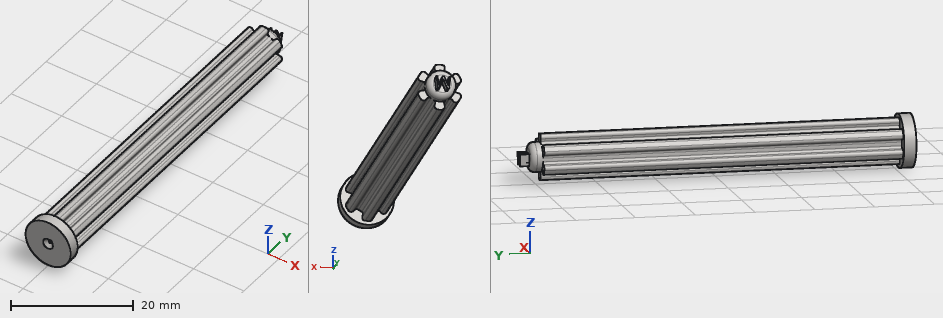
import cadquery as cq
import math

TOTAL_LENGTH = 65.5
FLANGE_DIAMETER = 9.0
FLANGE_THICKNESS = 2.0

SHAFT_LENGTH = 60.0
FIN_COUNT = 6
FIN_RADIUS = 3.85
CORE_RADIUS = 2.5
FIN_ROOT_FILLET = 0.4
FIN_CORNER_FILLET = 0.5
RADIUS_TOLERANCE = 0.0005

NOSE_LENGTH = 1.95
NOSE_FILLET = 1.0

TIP_LENGTH = TOTAL_LENGTH - FLANGE_THICKNESS - SHAFT_LENGTH - NOSE_LENGTH
TIP_CENTER_X = 0.05
TIP_TOP_Z = 0.7
TIP_BOTTOM_Z = -1.3
TIP_VALLEY_Z = -0.7
TIP_NOTCH_Z = 0.2
TIP_TOP_OUTER = 1.2
TIP_TOP_INNER = 1.0
TIP_VALLEY_X = 0.8
TIP_PEAK_HALF_WIDTH = 0.1
TIP_FOOT_OUTER = 0.9
TIP_FOOT_INNER = 0.65

RECESS_DIAMETER = 1.95
RECESS_FLOOR_DIAMETER = 0.65
RECESS_DEPTH = 0.65

flange_face_y = -TOTAL_LENGTH / 2
shaft_start_y = flange_face_y + FLANGE_THICKNESS
nose_start_y = shaft_start_y + SHAFT_LENGTH
nose_end_y = nose_start_y + NOSE_LENGTH


def section_at(y):
    """Sketch plane across the axis at y, with local x along X and local y along Z."""
    return cq.Workplane("XZ", origin=(0, y, 0))


def cylinder(radius, start_y, length):
    return section_at(start_y).circle(radius).extrude(-length)


def polar(radius, angle):
    return (radius * math.cos(angle), radius * math.sin(angle))


def lengthwise_edges(shape, radius):
    """Straight edges parallel to Y that lie at the given distance from the axis."""

    def at_radius(edge):
        center = edge.Center()
        return abs(math.hypot(center.x, center.z) - radius) < RADIUS_TOLERANCE

    return [edge for edge in shape.edges("|Y").vals() if at_radius(edge)]


def make_fluted_shaft():
    """Round core with equally wide fins and gaps; fin roots and fin corners are rounded."""
    half_fin = math.pi / FIN_COUNT / 2
    fin_reach = FIN_RADIUS / math.cos(half_fin) ** 2
    shaft = cylinder(CORE_RADIUS, shaft_start_y, SHAFT_LENGTH)
    fin_limit = cylinder(FIN_RADIUS, shaft_start_y, SHAFT_LENGTH)
    for index in range(FIN_COUNT):
        middle = math.pi / 2 + index * 2 * math.pi / FIN_COUNT
        corners = [(0, 0), polar(fin_reach, middle - half_fin), polar(fin_reach, middle + half_fin)]
        wedge = section_at(shaft_start_y).polyline(corners).close().extrude(-SHAFT_LENGTH)
        shaft = shaft.union(wedge.intersect(fin_limit))

    shaft = shaft.newObject(lengthwise_edges(shaft, CORE_RADIUS)).fillet(FIN_ROOT_FILLET)
    return shaft.newObject(lengthwise_edges(shaft, FIN_RADIUS)).fillet(FIN_CORNER_FILLET)


def make_nose():
    return cylinder(CORE_RADIUS, nose_start_y, NOSE_LENGTH).faces(">Y").edges().fillet(NOSE_FILLET)


def make_tip():
    """W-shaped prism, its right half mirrored from the left."""
    left_half = [
        (-TIP_PEAK_HALF_WIDTH, TIP_TOP_Z),
        (-TIP_VALLEY_X, TIP_VALLEY_Z),
        (-TIP_TOP_INNER, TIP_TOP_Z),
        (-TIP_TOP_OUTER, TIP_TOP_Z),
        (-TIP_FOOT_OUTER, TIP_BOTTOM_Z),
        (-TIP_FOOT_INNER, TIP_BOTTOM_Z),
    ]
    right_half = [(-x, z) for x, z in reversed(left_half)]
    outline = left_half + [(0, TIP_NOTCH_Z)] + right_half
    return section_at(nose_end_y).center(TIP_CENTER_X, 0).polyline(outline).close().extrude(-TIP_LENGTH)


def make_recess():
    floor_radius = RECESS_FLOOR_DIAMETER / 2
    mouth_radius = RECESS_DIAMETER / 2
    cone = cq.Solid.makeCone(
        mouth_radius, floor_radius, RECESS_DEPTH, pnt=(0, flange_face_y, 0), dir=(0, 1, 0)
    )
    return cq.Workplane(cone)


flange = cylinder(FLANGE_DIAMETER / 2, flange_face_y, FLANGE_THICKNESS)
body = flange.union(make_fluted_shaft()).union(make_nose()).union(make_tip())
result = body.cut(make_recess())